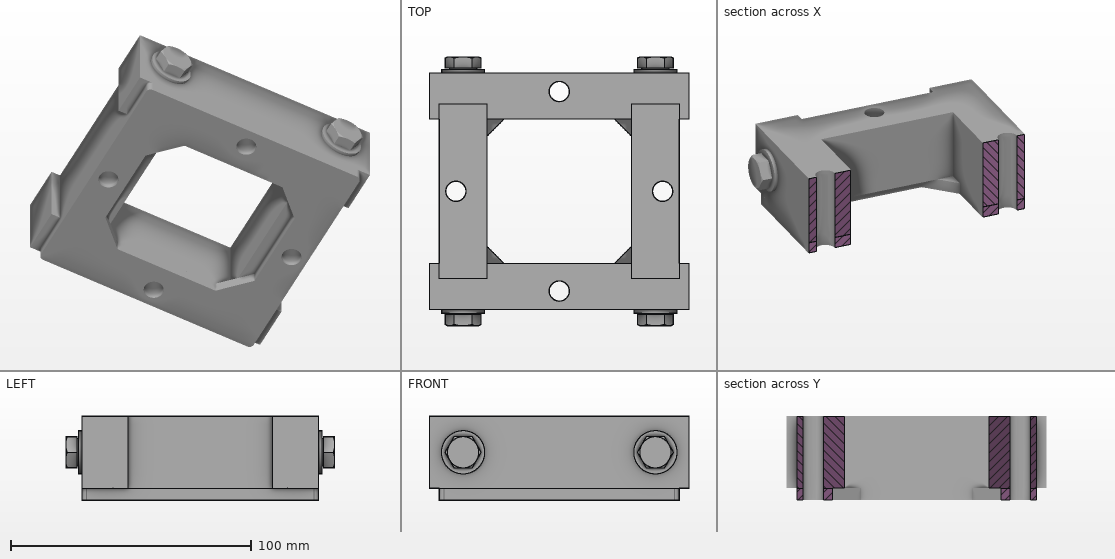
import cadquery as cq
import math

opening = 60.0
bar_height = 30.0
plate_thickness = 5.0
hole_diameter = 8.3

side_bar_width = 20.0
side_bar_embed = 6.25
side_bar_length = opening + 2 * side_bar_embed
side_bar_x = (opening + side_bar_width) / 2
side_hole_x = 43.0

end_bar_length = 108.0
frame_depth = 98.5
end_bar_width = (frame_depth - opening) / 2
end_bar_y = (opening + end_bar_width) / 2
end_hole_y = 41.5

plate_width = opening + 2 * side_bar_width
plate_corner_radius = 2.0
window_border = 15.0
window_width = plate_width - 2 * window_border
gusset_reach = 7.0
window_chamfer = gusset_reach + (window_width - opening) / 2

overall_depth = 111.9
bolt_projection = (overall_depth - frame_depth) / 2
bolt_z = plate_thickness + bar_height / 2
flange_diameter = 18.0
flange_thickness = 1.5
neck_diameter = 11.5
neck_length = 0.5
head_across_flats = 13.0
head_across_corners = head_across_flats / math.cos(math.pi / 6)
head_height = bolt_projection - flange_thickness - neck_length
head_chamfer_angle = math.radians(30)

hole_places = [
    (side_hole_x, 0),
    (-side_hole_x, 0),
    (0, end_hole_y),
    (0, -end_hole_y),
]


def mounting_holes():
    """Four vertical cutters through the bars and the plate."""
    return (
        cq.Workplane("XY")
        .pushPoints(hole_places)
        .circle(hole_diameter / 2)
        .extrude(plate_thickness + bar_height)
    )


def side_bar_block(side):
    """Plain block of one side bar; it also shapes its seats in the end bars."""
    return (
        cq.Workplane("XY")
        .box(side_bar_width, side_bar_length, bar_height, centered=(True, True, False))
        .translate((side * side_bar_x, 0, plate_thickness))
    )


def make_side_bar(side):
    return side_bar_block(side).cut(mounting_holes())


def make_end_bar(end):
    bar = (
        cq.Workplane("XY")
        .box(end_bar_length, end_bar_width, bar_height, centered=(True, True, False))
        .translate((0, end * end_bar_y, plate_thickness))
    )
    for side in (-1, 1):
        bar = bar.cut(side_bar_block(side))
    return bar.cut(mounting_holes())


def make_plate():
    window = (
        cq.Workplane("XY")
        .rect(window_width, opening)
        .extrude(plate_thickness)
        .edges("|Z")
        .chamfer(window_chamfer)
    )
    return (
        cq.Workplane("XY")
        .rect(plate_width, frame_depth)
        .extrude(plate_thickness)
        .edges("|Z")
        .fillet(plate_corner_radius)
        .cut(window)
        .cut(mounting_holes())
    )


def make_bolt(x, end):
    """Bolt on the outer face of an end bar, modelled pointing up and then laid along Y."""
    head_bottom = flange_thickness + neck_length
    flange = cq.Workplane("XY").circle(flange_diameter / 2).extrude(flange_thickness)
    neck = cq.Workplane("XY").circle(neck_diameter / 2).extrude(head_bottom)
    head = (
        cq.Workplane("XY", origin=(0, 0, head_bottom))
        .polygon(6, head_across_corners)
        .extrude(head_height)
    )
    corner_radius = head_across_corners / 2
    top_radius = head_across_flats / 2
    trim_drop = (corner_radius - top_radius) * math.tan(head_chamfer_angle)
    trim = (
        cq.Workplane("XZ")
        .moveTo(0, head_bottom)
        .lineTo(corner_radius, head_bottom)
        .lineTo(corner_radius, bolt_projection - trim_drop)
        .lineTo(top_radius, bolt_projection)
        .lineTo(0, bolt_projection)
        .close()
        .revolve(360, (0, 0, 0), (0, 1, 0))
    )
    bolt = flange.union(neck).union(head.intersect(trim))
    return (
        bolt.rotate((0, 0, 0), (1, 0, 0), -end * 90)
        .translate((x, end * frame_depth / 2, bolt_z))
    )


plate = make_plate()
side_bars = [make_side_bar(side) for side in (-1, 1)]
end_bars = [make_end_bar(end) for end in (-1, 1)]
bolts = [make_bolt(side * side_bar_x, end) for side in (-1, 1) for end in (-1, 1)]

bodies = [plate, *side_bars, *end_bars, *bolts]
result = cq.Compound.makeCompound([body.solids().val() for body in bodies])